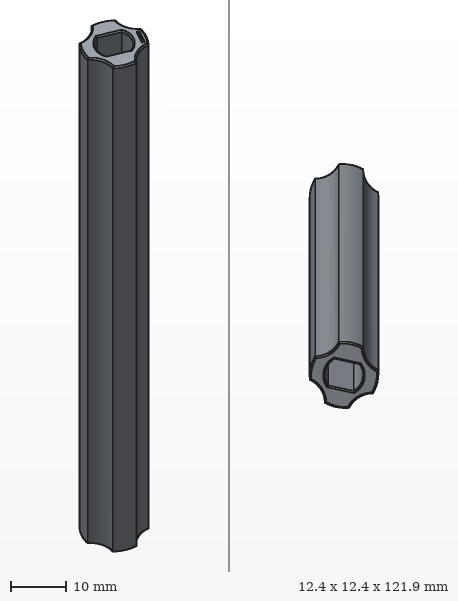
import cadquery as cq
import math

length = 121.9
outer_diameter = 12.4

lobe_width = 4.5
tip_radius = 7.2
flute_diameter = 10.0

bore_diameter = 7.0
bore_width = 5.1

end_chamfer = 0.3

slot_length = 2.9
slot_width = 0.5
slot_depth = 0.4
slot_offset = 5.1


def turned(point, quarter_turns):
    """Rotate a point about the axis by a number of quarter turns."""
    x, y = point
    for _ in range(quarter_turns):
        x, y = -y, x
    return (x, y)


def lobed_bar():
    """Four round-tipped lobes joined by concave flutes, along the full length."""
    outer_radius = outer_diameter / 2
    half_width = lobe_width / 2
    tip_drop = tip_radius - math.sqrt(tip_radius**2 - half_width**2)
    corner_reach = outer_radius - tip_drop
    flute_bottom = flute_diameter / 2 * math.sqrt(0.5)

    outline = cq.Workplane("XY").moveTo(corner_reach, -half_width)
    for quarter in range(4):
        tip = turned((outer_radius, 0), quarter)
        lobe_end = turned((corner_reach, half_width), quarter)
        flute_middle = turned((flute_bottom, flute_bottom), quarter)
        next_lobe = turned((half_width, corner_reach), quarter)
        outline = outline.threePointArc(tip, lobe_end)
        outline = outline.threePointArc(flute_middle, next_lobe)
    return outline.close().extrude(length)


def flat_sided_bore():
    """Through bore with two opposite flats."""
    bore = cq.Workplane("XY").circle(bore_diameter / 2).extrude(length)
    flats = cq.Workplane("XY").rect(bore_width, bore_diameter).extrude(length)
    return bore.intersect(flats)


def top_slot():
    """Shallow rectangular slot along X."""
    return (
        cq.Workplane("XY", origin=(0, slot_offset, length))
        .rect(slot_length, slot_width)
        .extrude(-slot_depth)
    )


tube = lobed_bar().cut(flat_sided_bore())
tube = tube.faces("<Z or >Z").edges().chamfer(end_chamfer)
result = tube.cut(top_slot())